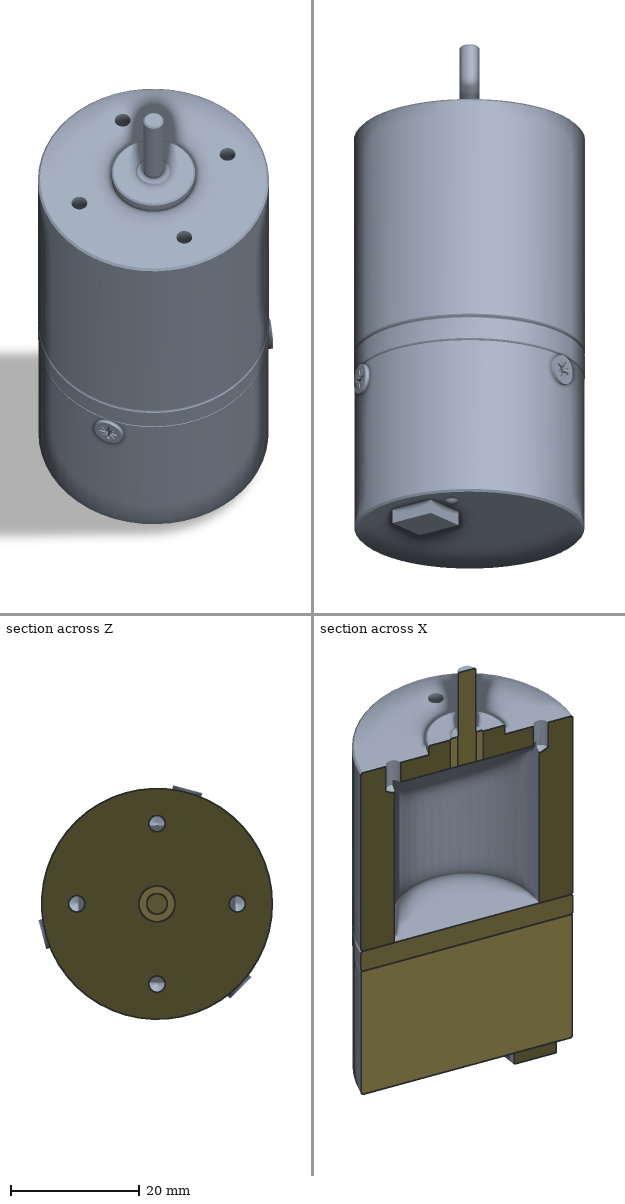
import cadquery as cq
import math

TOTAL_HEIGHT = 82.2
BODY_DIAMETER = 36.0
EDGE_CHAMFER = 0.3

CONNECTOR_ANGLE = 105.0
CONNECTOR_RADIUS = 11.3
CONNECTOR_WIDTH = 7.6
CONNECTOR_DEPTH = 7.0
CONNECTOR_HEIGHT = 2.2

STUD_ANGLE = 131.0
STUD_RADIUS = 13.9
STUD_DIAMETER = 2.05
STUD_HEIGHT = 0.5

REAR_CAN_DIAMETER = 35.8
REAR_CAN_HEIGHT = 25.0
SPACER_HEIGHT = 4.0
GEARBOX_HEIGHT = 36.0

CAVITY_DIAMETER = 24.5
END_PLATE_THICKNESS = 4.0
MOUNT_HOLE_COUNT = 4
MOUNT_HOLE_DIAMETER = 2.5
MOUNT_HOLE_DEPTH = 5.0
MOUNT_CIRCLE_DIAMETER = 25.0
DRILL_POINT_ANGLE = 118.0

BOSS_DIAMETER = 13.0
BOSS_HEIGHT = 1.8
BOSS_CHAMFER = 0.25
COLLAR_BASE_DIAMETER = 5.5
COLLAR_TOP_DIAMETER = 5.0
COLLAR_RISE = 0.25
SHAFT_DIAMETER = 3.1
SHAFT_CHAMFER = 0.25

SCREW_TURNS = {-165.0: -22.5, -45.0: 0.0, 75.0: 0.0}
SCREW_HEAD_DIAMETER = 4.7
SCREW_FACE_RADIUS = 18.5
SCREW_HEAD_THICKNESS = 1.0
SCREW_DROP = 2.5
RECESS_CORE_DIAMETER = 1.6
RECESS_CORE_TAPER = 35.0
RECESS_SPAN = 3.0
MAIN_SLOT_WIDTH = 0.4
MAIN_SLOT_DEPTH = 0.5
DIAGONAL_SLOT_WIDTH = 0.205
DIAGONAL_SLOT_DEPTH = 0.25

rear_can_bottom = CONNECTOR_HEIGHT
spacer_bottom = rear_can_bottom + REAR_CAN_HEIGHT
gearbox_bottom = spacer_bottom + SPACER_HEIGHT
gearbox_top = gearbox_bottom + GEARBOX_HEIGHT
boss_top = gearbox_top + BOSS_HEIGHT
cavity_top = gearbox_top - END_PLATE_THICKNESS
screw_level = spacer_bottom - SCREW_DROP


def disc(diameter, bottom, height):
    """Cylinder on the motor axis."""
    return cq.Workplane("XY").workplane(offset=bottom).circle(diameter / 2).extrude(height)


def polar(radius, angle):
    """Point in the XY plane at the given radius and angle in degrees."""
    return radius * math.cos(math.radians(angle)), radius * math.sin(math.radians(angle))


def screw_plane(angle):
    """Plane on the outer face of a side screw: local X along the tangent, normal outward."""
    x, y = polar(1, angle)
    origin = (SCREW_FACE_RADIUS * x, SCREW_FACE_RADIUS * y, screw_level)
    return cq.Plane(origin=origin, xDir=(-y, x, 0), normal=(x, y, 0))


def screw_blank(angle):
    """Plain screw head, also used to cut its seat in the rear can."""
    face = cq.Workplane(screw_plane(angle))
    return face.circle(SCREW_HEAD_DIAMETER / 2).extrude(-SCREW_HEAD_THICKNESS)


def make_screw(angle, turn):
    """Screw head with a tapered core, main slots at right angles and shallow diagonal slots between them."""
    screw = screw_blank(angle)
    face = cq.Workplane(screw_plane(angle))
    core = face.circle(RECESS_CORE_DIAMETER / 2).extrude(-MAIN_SLOT_DEPTH, taper=RECESS_CORE_TAPER)
    screw = screw.cut(core)
    slots = (
        (0, MAIN_SLOT_WIDTH, MAIN_SLOT_DEPTH),
        (45, DIAGONAL_SLOT_WIDTH, DIAGONAL_SLOT_DEPTH),
    )
    for offset, width, depth in slots:
        for quarter in (0, 90):
            direction = turn + offset + quarter
            slot = face.transformed(rotate=(0, 0, direction)).rect(RECESS_SPAN, width).extrude(-depth)
            screw = screw.cut(slot)
    return screw


def make_rear_can():
    can = disc(REAR_CAN_DIAMETER, rear_can_bottom, REAR_CAN_HEIGHT)
    can = can.faces("<Z").edges().chamfer(EDGE_CHAMFER)
    for angle in SCREW_TURNS:
        can = can.cut(screw_blank(angle))
    return can


def make_spacer():
    spacer = disc(BODY_DIAMETER, spacer_bottom, SPACER_HEIGHT)
    return spacer.faces("<Z or >Z").edges().chamfer(EDGE_CHAMFER)


def make_mount_hole(angle):
    """Drilled hole with a conical point, as a cutting body."""
    radius = MOUNT_HOLE_DIAMETER / 2
    point_depth = radius / math.tan(math.radians(DRILL_POINT_ANGLE / 2))
    profile = cq.Workplane("XZ").polyline([
        (0, 0),
        (radius, 0),
        (radius, -MOUNT_HOLE_DEPTH),
        (0, -MOUNT_HOLE_DEPTH - point_depth),
    ]).close()
    x, y = polar(MOUNT_CIRCLE_DIAMETER / 2, angle)
    return profile.revolve(360, (0, 0, 0), (0, 1, 0)).translate((x, y, gearbox_top))


def make_gearbox():
    housing = disc(BODY_DIAMETER, gearbox_bottom, GEARBOX_HEIGHT)
    housing = housing.faces("<Z or >Z").edges().chamfer(EDGE_CHAMFER)
    boss = disc(BOSS_DIAMETER, gearbox_top, BOSS_HEIGHT).faces(">Z").edges().chamfer(BOSS_CHAMFER)
    housing = housing.union(boss)
    housing = housing.cut(disc(CAVITY_DIAMETER, gearbox_bottom, cavity_top - gearbox_bottom))
    housing = housing.cut(disc(COLLAR_BASE_DIAMETER, cavity_top, boss_top - cavity_top))
    for i in range(MOUNT_HOLE_COUNT):
        housing = housing.cut(make_mount_hole(i * 360 / MOUNT_HOLE_COUNT))
    return housing


def make_collar():
    """Bearing sleeve lining the end plate, with a tapered rim above the boss."""
    base_radius = COLLAR_BASE_DIAMETER / 2
    profile = cq.Workplane("XZ").polyline([
        (SHAFT_DIAMETER / 2, cavity_top),
        (base_radius, cavity_top),
        (base_radius, boss_top),
        (COLLAR_TOP_DIAMETER / 2, boss_top + COLLAR_RISE),
        (SHAFT_DIAMETER / 2, boss_top + COLLAR_RISE),
    ]).close()
    return profile.revolve(360, (0, 0, 0), (0, 1, 0))


def make_shaft():
    shaft = disc(SHAFT_DIAMETER, cavity_top, TOTAL_HEIGHT - cavity_top)
    return shaft.faces(">Z").edges().chamfer(SHAFT_CHAMFER)


def make_connector():
    """Rectangular block, one side square to its radial direction."""
    block = cq.Workplane("XY").rect(CONNECTOR_DEPTH, CONNECTOR_WIDTH).extrude(CONNECTOR_HEIGHT)
    block = block.translate((CONNECTOR_RADIUS, 0, 0))
    return block.rotate((0, 0, 0), (0, 0, 1), CONNECTOR_ANGLE)


def make_stud():
    """Shallow spherical cap hanging below the rear can."""
    rim_radius = STUD_DIAMETER / 2
    sphere_radius = (rim_radius**2 + STUD_HEIGHT**2) / (2 * STUD_HEIGHT)
    sphere_level = sphere_radius - STUD_HEIGHT
    mid_angle = math.asin(rim_radius / sphere_radius) / 2
    mid_point = (
        sphere_radius * math.sin(mid_angle),
        sphere_level - sphere_radius * math.cos(mid_angle),
    )
    profile = cq.Workplane("XZ").lineTo(rim_radius, 0).threePointArc(mid_point, (0, -STUD_HEIGHT)).close()
    x, y = polar(STUD_RADIUS, STUD_ANGLE)
    return profile.revolve(360, (0, 0, 0), (0, 1, 0)).translate((x, y, rear_can_bottom))


rear_can = make_rear_can()
spacer = make_spacer()
gearbox = make_gearbox()
collar = make_collar()
shaft = make_shaft()
screws = [make_screw(angle, turn) for angle, turn in SCREW_TURNS.items()]
connector = make_connector()
stud = make_stud()

result = cq.Compound.makeCompound([
    rear_can.val(),
    spacer.val(),
    gearbox.val(),
    collar.val(),
    shaft.val(),
    *[screw.val() for screw in screws],
    connector.val(),
    stud.val(),
])